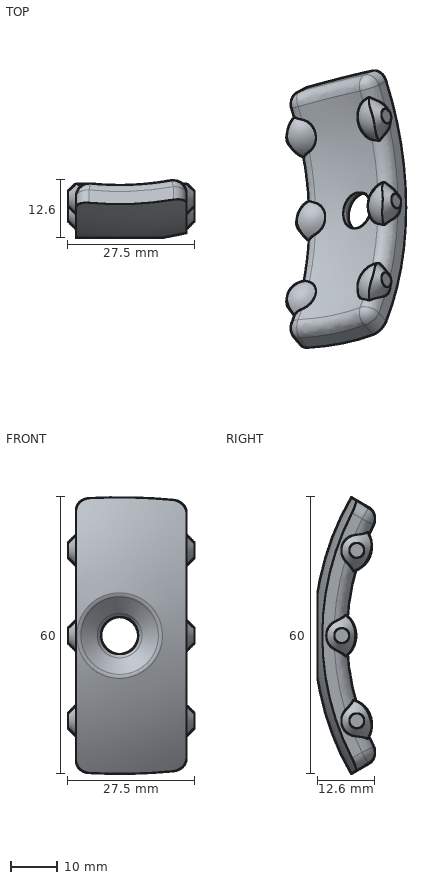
import cadquery as cq
import math

width = 24.0
outer_radius = 60.0
thickness = 6.0
half_angle = 30.0
edge_radius = 2.9
inner_radius = outer_radius - thickness

center_x = -2.5
center_y = outer_radius

hole_diameter = 8.0
seat_depth = 4.0
cone_half_angle = 55.0
rim_fillet = 1.2
throat_fillet = 2.0

stud_angles = (-20.0, 0.0, 20.0)
stud_tip_radius = 1.6
stud_projection = 1.75

ball_radius = 5.6
ball_center_x = 10.8
ball_offset = 2.4
front_cover = 0.6


def make_plate():
    """Spherical shell cut by two side planes and two radial end planes."""
    shell = cq.Workplane("XY").sphere(outer_radius).cut(cq.Workplane("XY").sphere(inner_radius))
    shell = shell.translate((center_x, center_y, 0))
    reach = 1.2 * outer_radius
    half_height = reach * math.tan(math.radians(half_angle))
    wedge = (
        cq.Workplane("YZ")
        .polyline([(center_y, 0), (center_y - reach, half_height), (center_y - reach, -half_height)])
        .close()
        .extrude(width / 2, both=True)
    )
    plate = wedge.intersect(shell)
    corner_edges = plate.faces("<Z or >Z").edges("<X or >X")
    inner_edges = plate.faces("%SPHERE").faces(">Y").edges()
    return plate.newObject(corner_edges.vals() + inner_edges.vals()).fillet(edge_radius)


def make_stud(side, angle):
    """45 degree cone pointing out of the plate side, bounded inside by a ball."""
    tip_x = width / 2 + stud_projection
    base_x = ball_center_x - ball_radius
    base_radius = stud_tip_radius + tip_x - base_x
    axis_start = (0, -inner_radius, 0)
    profile = [
        (side * base_x, -inner_radius),
        (side * base_x, -inner_radius + base_radius),
        (side * tip_x, -inner_radius + stud_tip_radius),
        (side * tip_x, -inner_radius),
    ]
    cone = cq.Workplane("XY").polyline(profile).close().revolve(360, axis_start, (1, -inner_radius, 0))
    ball_center = (side * ball_center_x, -inner_radius - ball_offset, 0)
    ball = cq.Workplane("XY").sphere(ball_radius).translate(ball_center)
    cover = cq.Workplane("XY").sphere(outer_radius - front_cover).translate((center_x, 0, 0))
    stud = cone.intersect(ball).intersect(cover)
    return stud.rotate((0, 0, 0), (1, 0, 0), angle).translate((0, center_y, 0))


def cut_hole(body):
    """Through hole with a conical seat, rounded at the rim and at the throat."""
    hole_radius = hole_diameter / 2
    mouth_radius = hole_radius + seat_depth * math.tan(math.radians(cone_half_angle))
    profile = [
        (0, 0),
        (mouth_radius, 0),
        (hole_radius, seat_depth),
        (hole_radius, 2 * thickness),
        (0, 2 * thickness),
    ]
    cutter = cq.Workplane("XY").polyline(profile).close().revolve(360, (0, 0, 0), (0, 1, 0))
    body = body.cut(cutter.translate((center_x, 0, 0)))
    throat = cq.selectors.NearestToPointSelector((center_x, seat_depth, 0))
    body = body.faces("%CONE").edges("%CIRCLE").edges(throat).fillet(throat_fillet)
    rim = cq.selectors.NearestToPointSelector((center_x, 0, 0))
    return body.faces("%CONE").edges("%CIRCLE").edges(rim).fillet(rim_fillet)


body = make_plate()
for stud_side in (-1, 1):
    for stud_angle in stud_angles:
        body = body.union(make_stud(stud_side, stud_angle))
result = cut_hole(body)